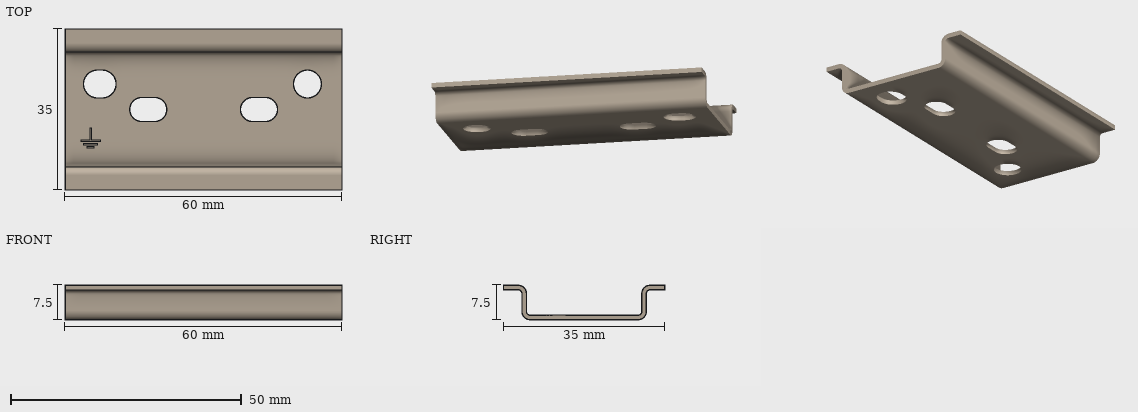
import cadquery as cq

rail_length = 60.0
rail_width = 35.0
rail_height = 7.5
sheet = 1.0
channel_width = 27.0
inner_bend = 0.8
outer_bend = inner_bend + sheet

end_hole_x = 22.5
end_hole_y = 5.5
end_hole_diameter = 6.0
end_slot_length = 7.0
middle_slot_x = 12.0
middle_slot_length = 8.0
middle_slot_width = 5.15

symbol_x = -24.5
symbol_top_y = -3.95
first_bar_y = -6.8
bar_pitch = 0.7
bar_lengths = (4.2, 3.0, 1.5)
stroke = 0.3
symbol_thickness = 0.05


def make_rail_blank():
    """Hat-shaped strip with rounded bends, before the holes are punched."""
    half_rail = rail_width / 2
    half_outer = channel_width / 2
    half_inner = half_outer - sheet
    flange_underside = rail_height - sheet
    outline = [
        (-half_rail, rail_height),
        (-half_inner, rail_height),
        (-half_inner, sheet),
        (half_inner, sheet),
        (half_inner, rail_height),
        (half_rail, rail_height),
        (half_rail, flange_underside),
        (half_outer, flange_underside),
        (half_outer, 0),
        (-half_outer, 0),
        (-half_outer, flange_underside),
        (-half_rail, flange_underside),
    ]
    blank = (
        cq.Workplane("YZ")
        .polyline(outline)
        .close()
        .extrude(rail_length / 2, both=True)
    )

    def bend_edges(half_width, z):
        corners = [(0, -half_width, z), (0, half_width, z)]
        edges = cq.Workplane("XY")
        for corner in corners:
            edges = edges.add(blank.edges("|X").edges(cq.NearestToPointSelector(corner)))
        return edges.vals()

    outer_edges = bend_edges(half_inner, rail_height) + bend_edges(half_outer, 0)
    inner_edges = bend_edges(half_outer, flange_underside) + bend_edges(half_inner, sheet)
    solid = blank.val().fillet(outer_bend, outer_edges)
    return cq.Workplane(solid.fillet(inner_bend, inner_edges))


def make_rail():
    """Rail with one round end hole, one slotted end hole and two middle slots."""
    floor = cq.Workplane("XY")
    round_hole = floor.center(end_hole_x, end_hole_y).circle(end_hole_diameter / 2).extrude(sheet)
    end_slot = (
        floor.center(-end_hole_x, end_hole_y)
        .slot2D(end_slot_length, end_hole_diameter)
        .extrude(sheet)
    )
    middle_slots = (
        floor.pushPoints([(-middle_slot_x, 0), (middle_slot_x, 0)])
        .slot2D(middle_slot_length, middle_slot_width)
        .extrude(sheet)
    )
    return make_rail_blank().cut(round_hole).cut(end_slot).cut(middle_slots)


def make_symbol_bar(index):
    """One of the parallel bars, standing on the floor of the rail."""
    return (
        cq.Workplane("XY", origin=(symbol_x, first_bar_y - index * bar_pitch, sheet))
        .rect(bar_lengths[index], stroke)
        .extrude(symbol_thickness)
    )


def make_stemmed_bar():
    """The longest bar together with the stem that runs from its middle along +Y."""
    stem_length = symbol_top_y - first_bar_y
    stem = (
        cq.Workplane("XY", origin=(symbol_x, first_bar_y + stem_length / 2, sheet))
        .rect(stroke, stem_length)
        .extrude(symbol_thickness)
    )
    return make_symbol_bar(0).union(stem)


rail = make_rail()
stemmed_bar = make_stemmed_bar()
short_bars = [make_symbol_bar(index).val() for index in range(1, len(bar_lengths))]

result = cq.Compound.makeCompound([rail.val(), stemmed_bar.val(), *short_bars])